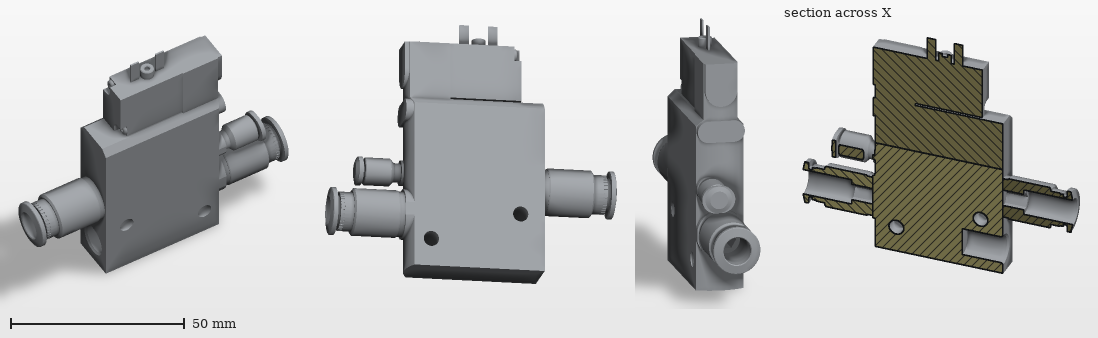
import cadquery as cq
import math


housing_width = 14.05
base_height = 35.0
housing_height = 50.4
back_y = 39.8
back_bow = 1.75
half_width = housing_width / 2
pad_y = 40.5
big_pad_diameter = 14.55
small_pad_diameter = 7.35
pad_overlap = 1.7
cross_hole_diameter = 4.4
cross_holes_yz = [(7.0, 16.6), (33.1, 8.0)]
port_diameter = 8.5
port_mouth_diameter = 9.7
port_z = 7.9
port_depth = 12.5

pilot_width = 10.0
pilot_top = 67.05
pilot_front_y = 27.2
top_chamfer = (housing_width - pilot_width) / 2
boss_y = 40.4
pilot_boss_radius = 4.7
pilot_boss_center_z = 59.0
lower_boss_height = 6.3
lower_boss_length = 13.8
lower_boss_z = 47.0

coil_front_y = 6.35
coil_right_setback = 0.25
coil_left_setback = 0.04
coil_gap = 0.5
coil_left_x = coil_left_setback - pilot_width / 2
coil_right_x = pilot_width / 2 - coil_right_setback
coil_bottom = housing_height + coil_gap

post_y = 18.05
post_diameter = 4.0
post_height = 2.8
post_chamfer = 0.21
post_socket_mouth = 2.0
post_socket_diameter = 1.6
post_socket_depth = 1.0
terminal_top = 74.0
terminal_length = 2.8
terminal_thickness = 0.5
terminal_offset = 4.2

screw_x = 3.3
screw_middle_z = 58.85
screw_rise = 6.0
screw_pocket_reach = 2.3
screw_pocket_radius = 2.1
screw_pocket_depth = 2.1
screw_head_diameter = 3.6
screw_head_height = 0.9
screw_head_round = 0.75
screw_socket_mouth = 1.6
screw_socket_diameter = 1.2
screw_socket_depth = 0.7

big_front_z = 25.5
big_rear_z = 16.7
neck_diameter = 13.0
neck_end = 1.5
sleeve_diameter = 13.7
sleeve_root_diameter = 13.4
sleeve_root_chamfer_length = 0.3
sleeve_tip_diameter = 12.4
sleeve_end = 14.9
sleeve_tip_chamfer_length = 0.5
collar_diameter = 11.4
collar_end = 18.7
knurl_length = 1.2
knurl_count = 32
knurl_width = 0.4
knurl_depth = 0.25
release_neck_diameter = 9.4
flange_diameter = 13.8
flange_start = 19.7
flange_rim_end = 20.9
flange_face_diameter = 13.4
flange_rim_chamfer_length = 0.2
flange_root_diameter = 10.0
flange_root_length = 0.3
big_fitting_length = 21.6
bore_diameter = 8.0
bore_mouth_diameter = 8.5
bore_depth = 15.05
hex_across_flats = 5.0

small_x = 3.5
small_z = 30.0
small_neck_diameter = 5.5
small_neck_root_diameter = 5.35
small_neck_root_length = 0.3
small_neck_end = 1.8
small_sleeve_diameter = 8.0
small_sleeve_start = 3.0
small_sleeve_end = 10.5
small_sleeve_chamfer = 0.25
small_release_neck_diameter = 4.4
small_flange_start = 11.3
small_flange_rim_end = 12.5
small_fitting_length = 13.1
small_flange_length = 9.7
small_flange_width = 7.9
small_tip_diameter = 5.2


def box(x0, x1, y0, y1, z0, z1):
    """Box between opposite corners."""
    return cq.Workplane("XY").box(x1 - x0, y1 - y0, z1 - z0, centered=False).translate((x0, y0, z0))


def disc_along_y(diameter, x, z, y0, y1):
    """Cylinder with its axis along Y."""
    return cq.Workplane("XZ", origin=(x, y0, z)).circle(diameter / 2).extrude(y0 - y1)


def turned(stations):
    """Solid of revolution about Z from (diameter, station) pairs."""
    outline = [(0, stations[0][1])]
    outline += [(diameter / 2, station) for diameter, station in stations]
    outline += [(0, stations[-1][1])]
    return cq.Workplane("XZ").polyline(outline).close().revolve(360, (0, 0, 0), (0, 1, 0))


def bowed_prism(width, y0, z0, z1):
    """Block whose back is an arc that all the blocks of the valve share."""
    bow_radius = (half_width**2 + back_bow**2) / (2 * back_bow)
    half = width / 2
    edge_y = back_y - bow_radius + math.sqrt(bow_radius**2 - half**2)
    return (
        cq.Workplane("XY", origin=(0, 0, z0))
        .moveTo(-half, y0)
        .lineTo(half, y0)
        .lineTo(half, edge_y)
        .threePointArc((0, back_y), (-half, edge_y))
        .close()
        .extrude(z1 - z0)
    )



def fitting_pads():
    """Round pads under the rear fittings, cut flush with the housing sides."""
    pad_root_y = back_y - back_bow - pad_overlap
    pads = disc_along_y(big_pad_diameter, 0, big_rear_z, pad_root_y, pad_y).union(
        disc_along_y(small_pad_diameter, small_x, small_z, pad_root_y, pad_y)
    )
    return pads.intersect(box(-half_width, half_width, pad_root_y, pad_y, 0, housing_height))


def front_port():
    """Blind port with a chamfered mouth, as a cutter."""
    mouth_depth = (port_mouth_diameter - port_diameter) / 2
    port = turned([
        (port_mouth_diameter, 0),
        (port_diameter, mouth_depth),
        (port_diameter, port_depth),
    ])
    return port.rotate((0, 0, 0), (1, 0, 0), -90).translate((0, 0, port_z))


def make_base():
    """Lower part of the housing, with the ports and the mounting holes."""
    base = bowed_prism(housing_width, 0, 0, base_height).union(fitting_pads())
    base = base.cut(front_port())
    cross_holes = (
        cq.Workplane("YZ", origin=(-half_width, 0, 0))
        .pushPoints(cross_holes_yz)
        .circle(cross_hole_diameter / 2)
        .extrude(housing_width)
    )
    return base.cut(cross_holes)



def raised_bosses():
    """Arch-shaped boss on the pilot block and a level slot-shaped boss below it."""
    boss_root_y = back_y - back_bow
    arch = disc_along_y(2 * pilot_boss_radius, 0, pilot_boss_center_z, boss_root_y, boss_y).union(
        box(-pilot_boss_radius, pilot_boss_radius, boss_root_y, boss_y, pilot_boss_center_z, pilot_top)
    )
    slot = (
        cq.Workplane("XZ", origin=(0, boss_root_y, lower_boss_z))
        .slot2D(lower_boss_length, lower_boss_height)
        .extrude(boss_root_y - boss_y)
    )
    return arch.union(slot)


def socket_cutter(mouth_diameter, diameter, depth):
    """Round socket with a countersunk mouth at the origin, going down -Z."""
    mouth_depth = (mouth_diameter - diameter) / 2
    return turned([
        (diameter, -depth),
        (diameter, -mouth_depth),
        (mouth_diameter, 0),
    ])


def screw_pocket():
    """Corner pocket for a screw at the origin, open towards -X, +Z and the front (-Y)."""
    r = screw_pocket_radius
    reach = screw_pocket_reach
    return (
        cq.Workplane("XZ")
        .moveTo(-reach, -r)
        .lineTo(0, -r)
        .threePointArc((r * math.sqrt(0.5), -r * math.sqrt(0.5)), (r, 0))
        .lineTo(r, reach)
        .lineTo(-reach, reach)
        .close()
        .extrude(screw_pocket_depth)
    )


def screw_head():
    """Domed head with a round socket, standing on the pocket floor and facing -Y."""
    head = cq.Workplane("XY").circle(screw_head_diameter / 2).extrude(screw_head_height)
    head = head.faces(">Z").edges().fillet(screw_head_round)
    socket = socket_cutter(screw_socket_mouth, screw_socket_diameter, screw_socket_depth)
    return head.cut(socket.translate((0, 0, screw_head_height))).rotate((0, 0, 0), (1, 0, 0), 90)


def place_screw(shape, turn):
    """Move a shape to the upper left screw, or turn it half round to the lower right one."""
    placed = shape.translate((-screw_x, coil_front_y + screw_pocket_depth, screw_middle_z + screw_rise))
    return placed.rotate((0, 0, screw_middle_z), (0, 1, screw_middle_z), turn)


def make_coil():
    """Coil with its two corner screws, the terminals and the post between them."""
    coil = box(coil_left_x, coil_right_x, coil_front_y, pilot_front_y, coil_bottom, pilot_top)
    for turn in (0, 180):
        coil = coil.cut(place_screw(screw_pocket(), turn))
        coil = coil.union(place_screw(screw_head(), turn))

    post = cq.Workplane("XY").circle(post_diameter / 2).extrude(post_height)
    post = post.faces(">Z").chamfer(post_chamfer)
    socket = socket_cutter(post_socket_mouth, post_socket_diameter, post_socket_depth)
    post = post.cut(socket.translate((0, 0, post_height)))
    coil = coil.union(post.translate((0, post_y, pilot_top)))

    for side in (-1, 1):
        middle_y = post_y + side * terminal_offset
        coil = coil.union(box(
            -terminal_thickness / 2, terminal_thickness / 2,
            middle_y - terminal_length / 2, middle_y + terminal_length / 2,
            pilot_top, terminal_top,
        ))
    return coil


def make_valve_block():
    """Upper part of the housing in one piece with the pilot."""
    block = bowed_prism(housing_width, 0, base_height, housing_height)
    block = block.faces(">Z").edges("|Y").chamfer(top_chamfer)
    pilot_rear = bowed_prism(pilot_width, pilot_front_y, housing_height, pilot_top)
    return block.union(pilot_rear).union(make_coil()).union(raised_bosses())



def make_big_fitting():
    """Push-in fitting along +Z, seated at the origin."""
    body = turned([
        (neck_diameter, 0),
        (neck_diameter, neck_end),
        (sleeve_root_diameter, neck_end),
        (sleeve_diameter, neck_end + sleeve_root_chamfer_length),
        (sleeve_diameter, sleeve_end - sleeve_tip_chamfer_length),
        (sleeve_tip_diameter, sleeve_end),
        (collar_diameter, sleeve_end),
        (collar_diameter, collar_end),
        (release_neck_diameter, collar_end),
        (release_neck_diameter, flange_start - flange_root_length),
        (flange_root_diameter, flange_start),
        (flange_diameter, flange_start),
        (flange_diameter, flange_rim_end),
        (flange_face_diameter, flange_rim_end + flange_rim_chamfer_length),
        (bore_mouth_diameter, big_fitting_length),
    ])
    knurl = (
        cq.Workplane("XY", origin=(0, 0, collar_end - knurl_length))
        .polarArray(collar_diameter / 2, 0, 360, knurl_count)
        .rect(2 * knurl_depth, knurl_width)
        .extrude(knurl_length)
    )
    mouth_depth = (bore_mouth_diameter - bore_diameter) / 2
    bore = turned([
        (bore_diameter, big_fitting_length - bore_depth),
        (bore_diameter, big_fitting_length - mouth_depth),
        (bore_mouth_diameter, big_fitting_length),
    ])
    hex_corner_diameter = hex_across_flats / math.cos(math.pi / 6)
    hex_socket = cq.Workplane("XY").polygon(6, hex_corner_diameter).extrude(big_fitting_length - bore_depth)
    return body.cut(knurl).cut(bore).cut(hex_socket)


def make_small_fitting():
    """Small push-in fitting along +Z with an oblong release flange, seated at the origin."""
    body = turned([
        (small_neck_root_diameter, 0),
        (small_neck_diameter, small_neck_root_length),
        (small_neck_diameter, small_neck_end),
        (small_sleeve_diameter, small_sleeve_start),
        (small_sleeve_diameter, small_sleeve_end - small_sleeve_chamfer),
        (small_sleeve_diameter - 2 * small_sleeve_chamfer, small_sleeve_end),
        (small_release_neck_diameter, small_sleeve_end),
        (small_release_neck_diameter, small_flange_start),
    ])
    flange = (
        cq.Workplane("XY", origin=(0, 0, small_flange_start))
        .slot2D(small_flange_length, small_flange_width)
        .extrude(small_flange_rim_end - small_flange_start)
    )
    tip = turned([
        (small_flange_width, small_flange_rim_end),
        (small_tip_diameter, small_fitting_length),
    ])
    return body.union(flange).union(tip)


def seat(fitting, x, y, z, tilt):
    """Tip a fitting from +Z onto the front (tilt 90) or the back (tilt -90) of the housing."""
    return fitting.rotate((0, 0, 0), (1, 0, 0), tilt).translate((x, y, z))


base = make_base()
valve_block = make_valve_block()
big_fittings = [
    seat(make_big_fitting(), 0, y, z, tilt)
    for y, z, tilt in [(0, big_front_z, 90), (pad_y, big_rear_z, -90)]
]
small_fitting = seat(make_small_fitting(), small_x, pad_y, small_z, -90)

result = cq.Compound.makeCompound([
    base.val(),
    valve_block.val(),
    *[fitting.val() for fitting in big_fittings],
    small_fitting.val(),
])